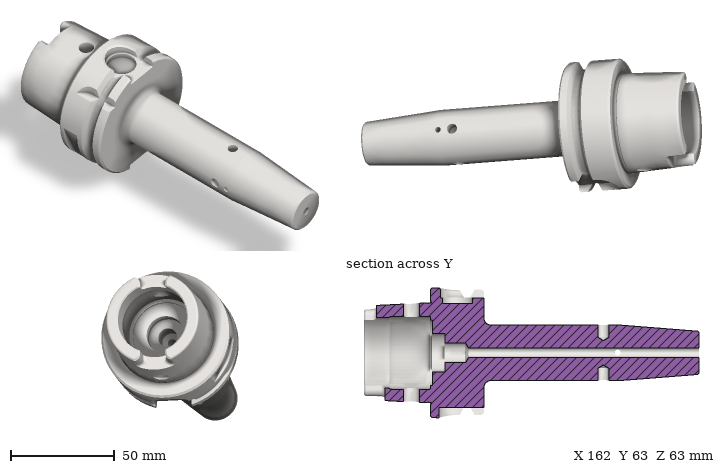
import math

import cadquery as cq


SHANK_LENGTH = 32.0
GAUGE_X = -6.3
GAUGE_RADIUS = 24.0
TAPER_SLOPE = 1 / 20
SHANK_EDGE_RADIUS = 1.2

RELIEF_START_X = -1.6
RELIEF_DEPTH = 0.4
RELIEF_FLOOR_X = 0.4
FACE_RELIEF_RADIUS = 25.5

FLANGE_RADIUS = 31.5
FLANGE_WIDTH = 26.0
FLANGE_CHAMFER = 1.0
GROOVE_CENTRE_X = 17.9
GROOVE_BOTTOM_RADIUS = 27.5
GROOVE_BOTTOM_WIDTH = 2.6
GROOVE_FLANK_ANGLE = 30.0
GROOVE_FILLET = 1.0

NOSE_END_X = 130.0
NOSE_RADIUS = 13.5
NOSE_TIP_RADIUS = 10.5
NOSE_TAPER_ANGLE = 4.5
NOSE_TIP_CHAMFER = 0.8
NOSE_ROOT_FILLET = 3.3

BORE_RADIUS = 17.0
BORE_ENTRY_CHAMFER = 0.6
BORE_LIP_LENGTH = 12.0
BORE_CHAMBER_RADIUS = 17.5
BORE_CHAMBER_ANGLE = 30.0
BORE_FLOOR_X = 0.0
FLOOR_RECESS_RADIUS = 15.8
FLOOR_RECESS_DEPTH = 1.0
TUBE_SEAT_RADIUS = 9.2
TUBE_SEAT_DEPTH = 6.0
COOLANT_BORE_RADIUS = 4.6
COOLANT_BORE_DEPTH = 10.0
COOLANT_HOLE_RADIUS = 2.1
DRILL_POINT_ANGLE = 118.0

SLOT_HALF_WIDTH = 6.25
SLOT_SHOULDER_Z = 20.9
SLOT_SHOULDER_RADIUS = 3.0
SLOT_FLOOR_FILLET = 1.7
SLOT_ENTRY_CHAMFER = 0.9
ENTRY_TAPER_ANGLE = 45.0
UPPER_SLOT_DEPTH = 6.0
LOWER_SLOT_DEPTH = 10.0

ACCESS_HOLE_X = -9.1
ACCESS_HOLE_DIAMETER = 7.5

KEYWAY_FLOOR_Z = 26.5
KEYWAY_ARC_X = 13.2
UPPER_KEYWAY_WIDTH = 16.4
LOWER_KEYWAY_WIDTH = 18.0
KEYWAY_RIM_CHAMFER = 0.9
KEYWAY_RECESS_DIAMETER = 14.3
KEYWAY_RECESS_DEPTH = 2.5

NOTCH_WALL_Y = -20.0
NOTCH_FLOOR_Z = 19.7
NOTCH_CUTTER_RADIUS = 7.5
NOTCH_ARC_X = 12.1

POCKET_START_X = 3.1
POCKET_END_X = 11.7
POCKET_FLOOR_RADIUS = 29.0
POCKET_TILT = 22.0

SCREW_HOLE_COUNT = 4
SCREW_HOLE_X = 83.6
SCREW_HOLE_DIAMETER = 5.0
SCREW_HOLE_DEPTH = 6.0
VENT_HOLE_X = 90.6
VENT_HOLE_DIAMETER = 2.8


def taper_radius(x):
    return GAUGE_RADIUS + (x - GAUGE_X) * TAPER_SLOPE


def drill_point_length(radius):
    return radius / math.tan(math.radians(DRILL_POINT_ANGLE / 2))


def turned(outline):
    """Revolve an outline drawn in the XZ plane about the X axis."""
    return outline.close().revolve(360, (0, 0, 0), (1, 0, 0))


def shank():
    root_radius = taper_radius(RELIEF_START_X)
    relief_radius = root_radius - RELIEF_DEPTH
    body = turned(
        cq.Workplane("XZ")
        .moveTo(-SHANK_LENGTH, 0)
        .lineTo(-SHANK_LENGTH, taper_radius(-SHANK_LENGTH))
        .lineTo(RELIEF_START_X, root_radius)
        .lineTo(RELIEF_START_X + RELIEF_DEPTH, relief_radius)
        .lineTo(RELIEF_START_X + 2 * RELIEF_DEPTH, root_radius)
        .lineTo(RELIEF_FLOOR_X, root_radius)
        .lineTo(RELIEF_FLOOR_X, 0)
    )
    return body.faces("<X").edges().fillet(SHANK_EDGE_RADIUS)


def flange():
    rim_radius = FLANGE_RADIUS - FLANGE_CHAMFER
    body = turned(
        cq.Workplane("XZ")
        .moveTo(0, 0)
        .lineTo(0, rim_radius)
        .lineTo(FLANGE_CHAMFER, FLANGE_RADIUS)
        .lineTo(FLANGE_WIDTH - FLANGE_CHAMFER, FLANGE_RADIUS)
        .lineTo(FLANGE_WIDTH, rim_radius)
        .lineTo(FLANGE_WIDTH, 0)
    )
    face_relief = turned(
        cq.Workplane("XZ")
        .moveTo(0, 0)
        .lineTo(0, FACE_RELIEF_RADIUS)
        .lineTo(RELIEF_FLOOR_X, taper_radius(RELIEF_START_X))
        .lineTo(RELIEF_FLOOR_X, 0)
    )
    return body.cut(face_relief).cut(gripper_groove())


def gripper_groove():
    bottom_half = GROOVE_BOTTOM_WIDTH / 2
    depth = FLANGE_RADIUS - GROOVE_BOTTOM_RADIUS
    top_half = bottom_half + depth * math.tan(math.radians(GROOVE_FLANK_ANGLE))
    section = (
        cq.Sketch()
        .polygon(
            [
                (GROOVE_CENTRE_X - top_half, FLANGE_RADIUS),
                (GROOVE_CENTRE_X - bottom_half, GROOVE_BOTTOM_RADIUS),
                (GROOVE_CENTRE_X + bottom_half, GROOVE_BOTTOM_RADIUS),
                (GROOVE_CENTRE_X + top_half, FLANGE_RADIUS),
                (GROOVE_CENTRE_X - top_half, FLANGE_RADIUS),
            ]
        )
        .vertices("<Y")
        .fillet(GROOVE_FILLET)
    )
    return cq.Workplane("XZ").placeSketch(section).revolve(360, (0, 0, 0), (1, 0, 0))


def nose():
    taper_length = (NOSE_RADIUS - NOSE_TIP_RADIUS) / math.tan(math.radians(NOSE_TAPER_ANGLE))
    body = turned(
        cq.Workplane("XZ")
        .moveTo(FLANGE_WIDTH, 0)
        .lineTo(FLANGE_WIDTH, NOSE_RADIUS + NOSE_ROOT_FILLET)
        .radiusArc((FLANGE_WIDTH + NOSE_ROOT_FILLET, NOSE_RADIUS), -NOSE_ROOT_FILLET)
        .lineTo(NOSE_END_X - taper_length, NOSE_RADIUS)
        .lineTo(NOSE_END_X, NOSE_TIP_RADIUS)
        .lineTo(NOSE_END_X, 0)
    )
    return body.faces(">X").edges().chamfer(NOSE_TIP_CHAMFER)


def stepped_bore():
    entry_x = -SHANK_LENGTH
    lip_end_x = entry_x + BORE_LIP_LENGTH
    chamber_run = (BORE_CHAMBER_RADIUS - BORE_RADIUS) / math.tan(math.radians(BORE_CHAMBER_ANGLE))
    recess_x = BORE_FLOOR_X + FLOOR_RECESS_DEPTH
    seat_x = recess_x + TUBE_SEAT_DEPTH
    coolant_x = seat_x + COOLANT_BORE_DEPTH
    point_run = drill_point_length(COOLANT_BORE_RADIUS) - drill_point_length(COOLANT_HOLE_RADIUS)
    return turned(
        cq.Workplane("XZ")
        .moveTo(entry_x, 0)
        .lineTo(entry_x, BORE_RADIUS + BORE_ENTRY_CHAMFER)
        .lineTo(entry_x + BORE_ENTRY_CHAMFER, BORE_RADIUS)
        .lineTo(lip_end_x, BORE_RADIUS)
        .lineTo(lip_end_x + chamber_run, BORE_CHAMBER_RADIUS)
        .lineTo(BORE_FLOOR_X, BORE_CHAMBER_RADIUS)
        .lineTo(BORE_FLOOR_X, FLOOR_RECESS_RADIUS)
        .lineTo(recess_x, FLOOR_RECESS_RADIUS)
        .lineTo(recess_x, TUBE_SEAT_RADIUS)
        .lineTo(seat_x, TUBE_SEAT_RADIUS)
        .lineTo(seat_x, COOLANT_BORE_RADIUS)
        .lineTo(coolant_x, COOLANT_BORE_RADIUS)
        .lineTo(coolant_x + point_run, COOLANT_HOLE_RADIUS)
        .lineTo(NOSE_END_X, COOLANT_HOLE_RADIUS)
        .lineTo(NOSE_END_X, 0)
    )


def drive_slot_outline(margin):
    """Slot across the shank end whose walls round over outwards, widened by a margin."""
    half_width = SLOT_HALF_WIDTH + margin
    radius = SLOT_SHOULDER_RADIUS - margin
    shoulder_z = SLOT_SHOULDER_Z - margin
    shoulder_y = half_width + radius
    return (
        cq.Workplane("YZ", origin=(-SHANK_LENGTH, 0, 0))
        .moveTo(-half_width, 0)
        .lineTo(-half_width, shoulder_z - radius)
        .radiusArc((-shoulder_y, shoulder_z), -radius)
        .lineTo(-shoulder_y, FLANGE_RADIUS)
        .lineTo(shoulder_y, FLANGE_RADIUS)
        .lineTo(shoulder_y, shoulder_z)
        .radiusArc((half_width, shoulder_z - radius), -radius)
        .lineTo(half_width, 0)
        .close()
    )


def drive_slot(depth):
    slot = drive_slot_outline(0).extrude(depth).faces(">X").edges().fillet(SLOT_FLOOR_FILLET)
    entry = drive_slot_outline(SLOT_ENTRY_CHAMFER).extrude(SLOT_ENTRY_CHAMFER, taper=ENTRY_TAPER_ANGLE)
    return slot.union(entry)


def access_hole():
    return (
        cq.Workplane("XY", origin=(ACCESS_HOLE_X, 0, 0))
        .circle(ACCESS_HOLE_DIAMETER / 2)
        .extrude(FLANGE_RADIUS, both=True)
    )


def keyway(width):
    """U-shaped keyway on the +Z side, closed by an arc at -X and open at +X."""
    height = FLANGE_RADIUS - KEYWAY_FLOOR_Z
    floor = cq.Workplane("XY", origin=(KEYWAY_ARC_X, 0, KEYWAY_FLOOR_Z))
    arc_end = floor.circle(width / 2).extrude(height)
    straight_length = FLANGE_WIDTH - KEYWAY_ARC_X
    straight = floor.rect(straight_length, width).extrude(height).translate((straight_length / 2, 0, 0))
    return arc_end.union(straight)


def chamfered_keyway_rim(body):
    """Chamfer the edge where the arc of the upper keyway meets the flange surface."""
    half_width = UPPER_KEYWAY_WIDTH / 2
    lowest_z = math.sqrt(FLANGE_RADIUS**2 - half_width**2)
    arc_box = cq.selectors.BoxSelector(
        (KEYWAY_ARC_X - half_width, -half_width, lowest_z),
        (KEYWAY_ARC_X, half_width, FLANGE_RADIUS),
    )
    return body.edges(arc_box).edges("%BSPLINE").chamfer(KEYWAY_RIM_CHAMFER)


def keyway_recess():
    return (
        cq.Workplane("XY", origin=(KEYWAY_ARC_X, 0, KEYWAY_FLOOR_Z - KEYWAY_RECESS_DEPTH))
        .circle(KEYWAY_RECESS_DIAMETER / 2)
        .extrude(KEYWAY_RECESS_DEPTH)
    )


def orientation_notch():
    arc_start_x = NOTCH_ARC_X - NOTCH_CUTTER_RADIUS
    return (
        cq.Workplane("XY", origin=(0, 0, NOTCH_FLOOR_Z))
        .moveTo(NOTCH_ARC_X, NOTCH_WALL_Y)
        .lineTo(FLANGE_WIDTH, NOTCH_WALL_Y)
        .lineTo(FLANGE_WIDTH, NOTCH_WALL_Y - NOTCH_CUTTER_RADIUS)
        .lineTo(arc_start_x, NOTCH_WALL_Y - NOTCH_CUTTER_RADIUS)
        .radiusArc((NOTCH_ARC_X, NOTCH_WALL_Y), NOTCH_CUTTER_RADIUS)
        .close()
        .extrude(FLANGE_RADIUS - NOTCH_FLOOR_Z)
    )


def flat_pocket():
    length = POCKET_END_X - POCKET_START_X
    depth = FLANGE_RADIUS - POCKET_FLOOR_RADIUS
    return (
        cq.Workplane("XY")
        .box(length, depth, 2 * FLANGE_RADIUS)
        .translate((POCKET_START_X + length / 2, -POCKET_FLOOR_RADIUS - depth / 2, 0))
        .rotate((0, 0, 0), (1, 0, 0), POCKET_TILT)
    )


def screw_hole():
    """Blind hole with a drill point, entering the nose from +Z."""
    radius = SCREW_HOLE_DIAMETER / 2
    floor_z = NOSE_RADIUS - SCREW_HOLE_DEPTH
    return (
        cq.Workplane("XZ")
        .moveTo(0, NOSE_RADIUS)
        .lineTo(radius, NOSE_RADIUS)
        .lineTo(radius, floor_z)
        .lineTo(0, floor_z - drill_point_length(radius))
        .close()
        .revolve(360, (0, 0, 0), (0, 1, 0))
        .translate((SCREW_HOLE_X, 0, 0))
    )


def vent_hole():
    return (
        cq.Workplane("XZ", origin=(VENT_HOLE_X, 0, 0))
        .circle(VENT_HOLE_DIAMETER / 2)
        .extrude(NOSE_RADIUS, both=True)
    )


def about_x(shape, angle):
    return shape.rotate((0, 0, 0), (1, 0, 0), angle)


result = shank().union(flange()).union(nose()).cut(stepped_bore())
result = result.cut(drive_slot(UPPER_SLOT_DEPTH)).cut(about_x(drive_slot(LOWER_SLOT_DEPTH), 180))
result = result.cut(access_hole())
result = result.cut(keyway(UPPER_KEYWAY_WIDTH)).cut(about_x(keyway(LOWER_KEYWAY_WIDTH), 180))
result = chamfered_keyway_rim(result).cut(keyway_recess())
result = result.cut(orientation_notch()).cut(flat_pocket())
for hole in range(SCREW_HOLE_COUNT):
    result = result.cut(about_x(screw_hole(), hole * 360 / SCREW_HOLE_COUNT))
result = result.cut(vent_hole())